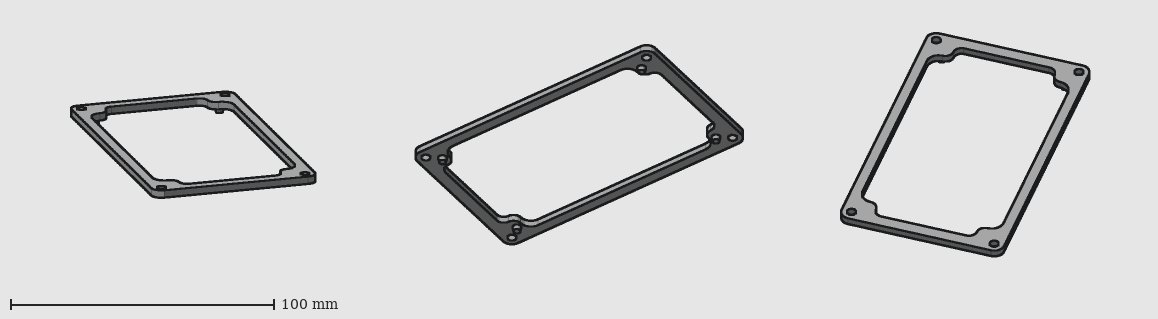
import cadquery as cq

length = 110.0
width = 65.0
total_height = 5.0
thickness = 3.0
corner_radius = 4.0

end_bar = 5.1
long_bar = 4.3
pad_x = 11.5
pad_y = 12.3
pad_round = 3.3
end_bar_fillet = pad_x - end_bar - pad_round
long_bar_fillet = pad_y - long_bar - pad_round

hole_diameter = 3.4

pin_spacing_x = 92.1
pin_spacing_y = 49.4
pin_root_diameter = 3.4
pin_tip_diameter = 2.6
pin_length = total_height - thickness


def window():
    """Opening built from one quarter outline, mirrored into all four quadrants."""
    half_x = length / 2 - end_bar
    half_y = width / 2 - long_bar
    pad_edge_x = length / 2 - pad_x
    pad_edge_y = width / 2 - pad_y
    quarter = (
        cq.Workplane("XY")
        .lineTo(half_x, 0)
        .lineTo(half_x, pad_edge_y - end_bar_fillet)
        .radiusArc((half_x - end_bar_fillet, pad_edge_y), -end_bar_fillet)
        .radiusArc((pad_edge_x, pad_edge_y + pad_round), pad_round)
        .radiusArc((pad_edge_x - long_bar_fillet, half_y), -long_bar_fillet)
        .lineTo(0, half_y)
        .close()
        .extrude(thickness)
    )
    half = quarter.union(quarter.mirror("YZ"))
    return half.union(half.mirror("XZ"))


def holes():
    spacing_x = length - 2 * corner_radius
    spacing_y = width - 2 * corner_radius
    return (
        cq.Workplane("XY")
        .rarray(spacing_x, spacing_y, 2, 2)
        .circle(hole_diameter / 2)
        .extrude(thickness)
    )


def pins():
    """Four pins hanging from the underside, narrowing towards the tip."""
    pin = cq.Solid.makeCone(
        pin_root_diameter / 2,
        pin_tip_diameter / 2,
        pin_length,
        dir=cq.Vector(0, 0, -1),
    )
    return (
        cq.Workplane("XY")
        .rarray(pin_spacing_x, pin_spacing_y, 2, 2)
        .eachpoint(lambda place: pin.moved(place))
    )


plate = (
    cq.Workplane("XY")
    .box(length, width, thickness, centered=(True, True, False))
    .edges("|Z")
    .fillet(corner_radius)
)
result = plate.cut(window()).cut(holes()).union(pins())